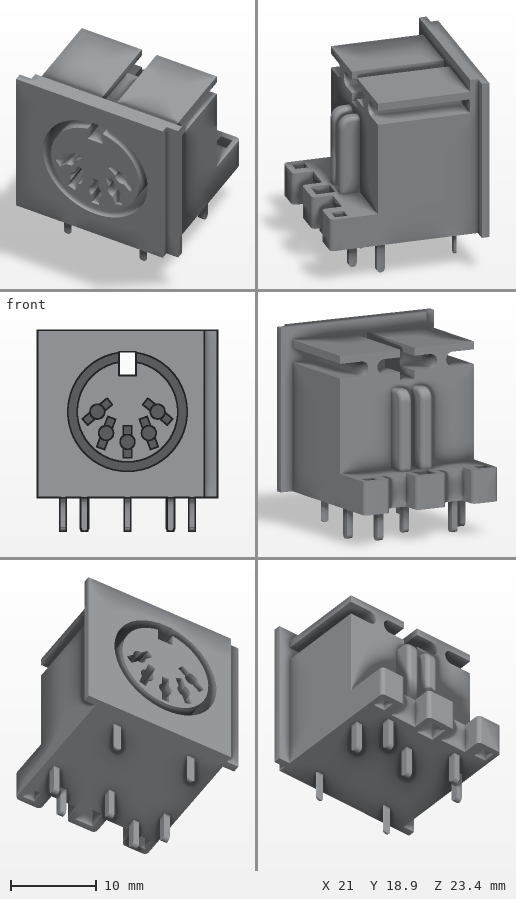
import cadquery as cq
import math


HEIGHT = 23.4
TAIL_LENGTH = 3.9
BASE_Z = TAIL_LENGTH
BODY_WIDTH = 17.9
BODY_BACK = 13.13
BODY_TOP = 21.88
FRONT_PLATE_THICKNESS = 0.91
SECOND_PLATE_THICKNESS = 0.94
PLATE_OVERHANG = 1.55
FRONT_DEPTH = FRONT_PLATE_THICKNESS + SECOND_PLATE_THICKNESS

LEDGE_BACK = 18.9
LEDGE_HEIGHT = 3.98
SIDE_TOOTH_WIDTH = 3.45
MIDDLE_TOOTH_WIDTH = 3.98
TOOTH_LENGTH = 2.5
TOOTH_RADIUS = 0.51
HOLE_MARGIN = 0.75
SIDE_HOLE_SIZE = 1.55
SIDE_HOLE_X = 7.53
MIDDLE_HOLE_WIDTH = 2.3
MIDDLE_HOLE_LENGTH = 2.36

RIB_X = 1.38
RIB_WIDTH = 1.57
RIB_DEPTH = 2.35
RIB_TOP = 17.43
RIB_BEND_RADIUS = 1.38
RIB_EDGE_RADIUS = 0.51

AXIS_Z = 13.92
GROOVE_OUTER_RADIUS = 6.95
CORE_RADIUS = 5.85
SOCKET_DEPTH = 8.1
KEY_WIDTH = 1.97
KEY_BOTTOM = 18.15
KEY_TOP = AXIS_Z + GROOVE_OUTER_RADIUS
CONTACT_CIRCLE_RADIUS = 3.5
CONTACT_HOLE_DIAMETER = 1.7
CONTACT_HOLE_DEPTH = 9.65
CONTACT_SLOT_LENGTH = 3.75
CONTACT_SLOT_WIDTH = 0.95
CONTACT_STEP = 45
CONTACT_SLOT_TILTS = {-2: -50, -1: -20, 0: 0, 1: 20, 2: 50}

SLOT_HEIGHT = 1.75
SLOT_TOP = 20.95
SIDE_SLOT_DEPTH = 3.75
REAR_SLOT_WIDTH = 7.95
REAR_SLOT_FRONT = 9.65

TAIL_INSERTION = 1.87
CONTACT_TAIL_WIDTH = 0.95
CONTACT_TAIL_THICKNESS = 0.77
SHIELD_TAIL_WIDTH = 1.0
SHIELD_FACE_WIDTH = 0.82
SHIELD_TAIL_THICKNESS = 0.28
INNER_TAIL_X = 5.0
OUTER_TAIL_X = 7.5
FRONT_ROW_Y = 12.43
REAR_LEFT_Y = 15.05
REAR_RIGHT_Y = 15.19
SHIELD_TAIL_Y = 2.53


def block(x_min, x_max, y_min, y_max, z_min, z_max):
    size = (x_max - x_min, y_max - y_min, z_max - z_min)
    return cq.Workplane("XY").box(*size, centered=False).translate((x_min, y_min, z_min))


def facing_back(y):
    """Workplane on the socket axis, local X along -X and local Y along +Z, extruding to +Y."""
    return cq.Workplane(cq.Plane((0, y, AXIS_Z), (-1, 0, 0), (0, 1, 0)))


def make_shell():
    half = BODY_WIDTH / 2
    body = block(-half, half, 0, BODY_BACK, BASE_Z, BODY_TOP)
    front_plate = block(-half - PLATE_OVERHANG, half, 0, FRONT_PLATE_THICKNESS, BASE_Z, HEIGHT)
    second_plate = block(
        -half, half + PLATE_OVERHANG, FRONT_PLATE_THICKNESS, FRONT_DEPTH, BASE_Z, HEIGHT
    )
    return body.union(front_plate).union(second_plate)


def make_ledge():
    half = BODY_WIDTH / 2
    ledge_top = BASE_Z + LEDGE_HEIGHT
    tooth_root = LEDGE_BACK - TOOTH_LENGTH
    ledge = block(-half, half, BODY_BACK, tooth_root, BASE_Z, ledge_top)
    side_x = half - SIDE_TOOTH_WIDTH / 2
    teeth = ((-side_x, SIDE_TOOTH_WIDTH), (0, MIDDLE_TOOTH_WIDTH), (side_x, SIDE_TOOTH_WIDTH))
    for x, width in teeth:
        tooth = block(x - width / 2, x + width / 2, tooth_root, LEDGE_BACK, BASE_Z, ledge_top)
        ledge = ledge.union(tooth.edges("|Z and >Y").fillet(TOOTH_RADIUS))

    hole_back = LEDGE_BACK - HOLE_MARGIN
    holes = (
        (-SIDE_HOLE_X, SIDE_HOLE_SIZE, SIDE_HOLE_SIZE),
        (0, MIDDLE_HOLE_WIDTH, MIDDLE_HOLE_LENGTH),
        (SIDE_HOLE_X, SIDE_HOLE_SIZE, SIDE_HOLE_SIZE),
    )
    for x, width, length in holes:
        hole = block(x - width / 2, x + width / 2, hole_back - length, hole_back, BASE_Z, ledge_top)
        ledge = ledge.cut(hole)
    return ledge


def make_rib(x):
    rib_back = BODY_BACK + RIB_DEPTH
    rib = block(x - RIB_WIDTH / 2, x + RIB_WIDTH / 2, BODY_BACK, rib_back, BASE_Z, RIB_TOP)
    rib = rib.edges(">Y and >Z").fillet(RIB_BEND_RADIUS)
    return rib.faces(">Y").edges("|Z").fillet(RIB_EDGE_RADIUS)


def make_groove():
    """Annular groove around the core that carries the contact openings."""
    return facing_back(0).circle(GROOVE_OUTER_RADIUS).circle(CORE_RADIUS).extrude(SOCKET_DEPTH)


def make_contact_opening(index):
    """Round opening with a crossing slot; index 0 is the lowest contact."""
    angle = math.radians(CONTACT_STEP * index)
    center = (-CONTACT_CIRCLE_RADIUS * math.sin(angle), 0, -CONTACT_CIRCLE_RADIUS * math.cos(angle))
    bore = facing_back(0).circle(CONTACT_HOLE_DIAMETER / 2).extrude(CONTACT_HOLE_DEPTH)
    slot = facing_back(0).rect(CONTACT_SLOT_WIDTH, CONTACT_SLOT_LENGTH).extrude(SOCKET_DEPTH)
    slot = slot.rotate((0, 0, AXIS_Z), (0, 1, AXIS_Z), CONTACT_SLOT_TILTS[index])
    return bore.union(slot).translate(center)


def make_round_slot(x, length, y_min, y_max):
    """Slot across the body with half-round ends, centred on x."""
    slot_z = SLOT_TOP - SLOT_HEIGHT / 2
    profile = facing_back(y_min).center(-x, slot_z - AXIS_Z).slot2D(length, SLOT_HEIGHT)
    return profile.extrude(y_max - y_min)


def make_housing():
    housing = make_shell().union(make_ledge())
    for side in (-1, 1):
        housing = housing.union(make_rib(side * RIB_X))

    housing = housing.cut(make_groove())
    for index in CONTACT_SLOT_TILTS:
        housing = housing.cut(make_contact_opening(index))

    half_key = KEY_WIDTH / 2
    housing = housing.cut(block(-half_key, half_key, 0, BODY_BACK, KEY_BOTTOM, KEY_TOP))
    housing = housing.cut(block(-half_key, half_key, FRONT_DEPTH, BODY_BACK, SLOT_TOP, BODY_TOP))

    for side in (-1, 1):
        side_slot = make_round_slot(side * BODY_WIDTH / 2, 2 * SIDE_SLOT_DEPTH, FRONT_DEPTH, BODY_BACK)
        housing = housing.cut(side_slot)
    return housing.cut(make_round_slot(0, REAR_SLOT_WIDTH, REAR_SLOT_FRONT, BODY_BACK))


def make_tail(width, thickness):
    """Flat tail with a half-round tip, lying along X and centred on the Z axis."""
    half = width / 2
    return (
        cq.Workplane("XZ")
        .moveTo(-half, half)
        .threePointArc((0, 0), (half, half))
        .lineTo(half, TAIL_LENGTH + TAIL_INSERTION)
        .lineTo(-half, TAIL_LENGTH + TAIL_INSERTION)
        .close()
        .extrude(thickness / 2, both=True)
    )


def make_contact_tail(x, y):
    """Tail turned so that its width lies along Y."""
    tail = make_tail(CONTACT_TAIL_WIDTH, CONTACT_TAIL_THICKNESS)
    return tail.rotate((0, 0, 0), (0, 0, 1), 90).translate((x, y, 0))


def make_shield_tail(x):
    """Thin tail whose long edges are bevelled to a hexagonal section."""
    half_width = SHIELD_TAIL_WIDTH / 2
    half_face = SHIELD_FACE_WIDTH / 2
    half_thickness = SHIELD_TAIL_THICKNESS / 2
    section = [
        (-half_width, 0),
        (-half_face, -half_thickness),
        (half_face, -half_thickness),
        (half_width, 0),
        (half_face, half_thickness),
        (-half_face, half_thickness),
    ]
    prism = cq.Workplane("XY").polyline(section).close().extrude(TAIL_LENGTH + TAIL_INSERTION)
    tail = make_tail(SHIELD_TAIL_WIDTH, SHIELD_TAIL_THICKNESS).intersect(prism)
    return tail.translate((x, SHIELD_TAIL_Y, 0))


CONTACT_TAIL_PLACES = [
    (-OUTER_TAIL_X, FRONT_ROW_Y),
    (0, FRONT_ROW_Y),
    (OUTER_TAIL_X, FRONT_ROW_Y),
    (-INNER_TAIL_X, REAR_LEFT_Y),
    (INNER_TAIL_X, REAR_RIGHT_Y),
]
contact_tails = [make_contact_tail(x, y) for x, y in CONTACT_TAIL_PLACES]
shield_tails = [make_shield_tail(x) for x in (-INNER_TAIL_X, INNER_TAIL_X)]
tails = contact_tails + shield_tails

housing = make_housing()
for tail in tails:
    housing = housing.cut(tail)

result = cq.Compound.makeCompound([housing.val(), *[tail.val() for tail in tails]])